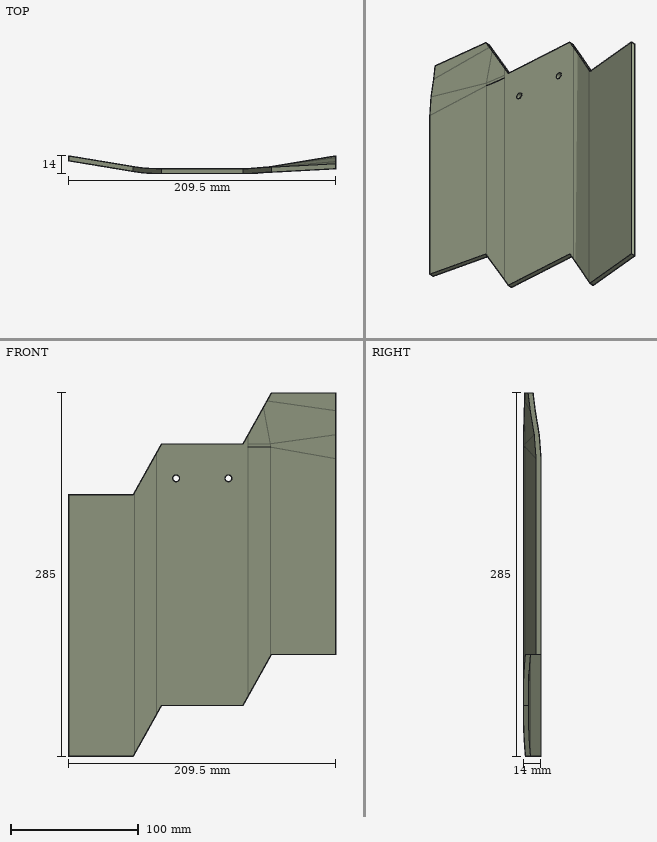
import cadquery as cq
import math

width = 209.5
height = 285.0
depth = 14.0
thickness = 4.0
step_height = 40.0
step_inner = 32.0
step_outer = 54.2
fold_start = 36.0
fold_end = 53.3
hole_diameter = 5.0
hole_spacing = 41.0
hole_height = 218.0

half_width = width / 2
panel_height = height - 2 * step_height
wing_rise = depth - thickness
wing_slope = wing_rise / (half_width - (fold_start + fold_end) / 2)
fold_rise = wing_slope * (fold_end - fold_start) / 2
fold_angle = math.atan(wing_slope)
fold_radius = (fold_end - fold_start) / math.sin(fold_angle)
arc_mid_x = fold_start + fold_radius * math.sin(fold_angle / 2)
arc_mid_y = fold_radius * (1 - math.cos(fold_angle / 2))

bend_start_z = 242.5
bend_end_z = 245.0
strip_z = 279.3
edge_bend_start_z = 233.5
edge_bend_end_z = 252.2
edge_strip_z = 271.0
edge_drop_at_bend_end = 1.5
edge_drop_at_strip = 4.5
edge_drop_at_top = 6.3
fold_lean = 7.5
top_fold_rise = 0.5

inner_rail = [
    (fold_start, 0, bend_start_z),
    (fold_start, 0, bend_end_z),
    (fold_start, 0, strip_z),
    (fold_start, 0, height),
]
lean_at_strip = fold_lean * (strip_z - bend_end_z) / (height - bend_end_z)
fold_rail = [
    (fold_end, fold_rise, bend_start_z),
    (fold_end, fold_rise, bend_end_z),
    (fold_end - lean_at_strip, top_fold_rise, strip_z),
    (fold_end - fold_lean, top_fold_rise, height),
]
edge_rail = [
    (half_width, wing_rise, edge_bend_start_z),
    (half_width, wing_rise - edge_drop_at_bend_end, edge_bend_end_z),
    (half_width, wing_rise - edge_drop_at_strip, edge_strip_z),
    (half_width, wing_rise - edge_drop_at_top, height),
]


def prism_along_y(points):
    """Extrude an XZ outline through the full depth."""
    return cq.Workplane("XZ").polyline(points).close().extrude(-depth)


def bent_sheet():
    """Plate with both wings folded back, at full height."""
    return (
        cq.Workplane("XY")
        .moveTo(-half_width, wing_rise)
        .lineTo(-fold_end, fold_rise)
        .threePointArc((-arc_mid_x, arc_mid_y), (-fold_start, 0))
        .lineTo(fold_start, 0)
        .threePointArc((arc_mid_x, arc_mid_y), (fold_end, fold_rise))
        .lineTo(half_width, wing_rise)
        .lineTo(half_width, wing_rise + thickness)
        .lineTo(fold_end, fold_rise + thickness)
        .threePointArc((arc_mid_x, arc_mid_y + thickness), (fold_start, thickness))
        .lineTo(-fold_start, thickness)
        .threePointArc((-arc_mid_x, arc_mid_y + thickness), (-fold_end, fold_rise + thickness))
        .lineTo(-half_width, wing_rise + thickness)
        .close()
        .extrude(height)
    )


def sheet_section(rail):
    """Closed loop around the plate thickness along one rail."""
    front = [cq.Vector(*point) for point in rail]
    back = [point + cq.Vector(0, thickness, 0) for point in reversed(front)]
    return cq.Wire.makePolygon(front + back, close=True)


def twisted_corner():
    """Upper corner of the +X wing, bent forward from the wing plane."""
    sections = [sheet_section(rail) for rail in (inner_rail, fold_rail, edge_rail)]
    return cq.Workplane(cq.Solid.makeLoft(sections, True))


corner_region = prism_along_y([
    (fold_start, bend_start_z),
    (fold_end, bend_start_z),
    (half_width, edge_bend_start_z),
    (half_width, height),
    (fold_start, height),
])

stepped_outline = prism_along_y([
    (-half_width, 0),
    (-step_outer, 0),
    (-step_inner, step_height),
    (step_inner, step_height),
    (step_outer, 2 * step_height),
    (half_width, 2 * step_height),
    (half_width, height),
    (step_outer, height),
    (step_inner, height - step_height),
    (-step_inner, height - step_height),
    (-step_outer, panel_height),
    (-half_width, panel_height),
])

holes = (
    cq.Workplane("XZ")
    .pushPoints([(-hole_spacing / 2, hole_height), (hole_spacing / 2, hole_height)])
    .circle(hole_diameter / 2)
    .extrude(-depth)
)

sheet = bent_sheet().cut(corner_region).union(twisted_corner())
result = sheet.intersect(stepped_outline).cut(holes)